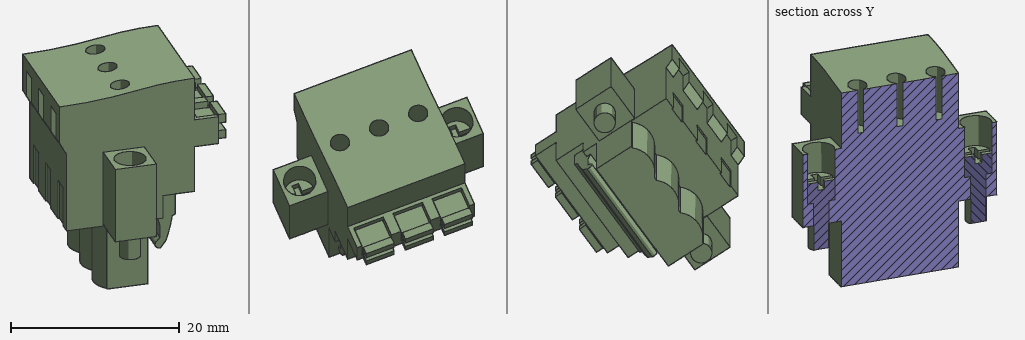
import cadquery as cq
import math


pole_count = 3
body_width = 15.0
pitch = body_width / pole_count
pole_xs = [(i - (pole_count - 1) / 2) * pitch for i in range(pole_count)]

body_back_y = 8.76
body_bottom_z = 8.37
back_bottom_z = 11.34
step_y = 4.85
lower_front_y = -7.08
top_front_y = -7.95
overhang_bottom_z = 20.02
overhang_foot_z = 18.45
top_back_z = 26.25
top_front_z = 24.8
crest_end_y = 1.9
crest_end_z = 25.65

wire_hole_diameter = 2.25
wire_hole_y = 0.25
wire_hole_floor_z = 19.68

groove_width = 2.05
upper_groove_top_z = 23.27
lower_groove_top_z = 13.38
lower_groove_depth = 0.18

plug_back_y = 2.97
plug_front_y = -2.07
bulge_width = 4.55
bulge_front_y = -3.05

ledge_back_y = 11.73
ledge_bottom_z = 17.21
ledge_top_z = 20.75
pocket_front_y = 9.2
pocket_clearance = 0.092

lever_width = 3.57
lever_back_y = 12.83
head_front_y = 11.9
head_bottom_z = 17.5
head_top_z = 20.68
stem_bottom_z = 18.08
stem_top_z = 19.97
lever_slot_width = 0.97
lever_slot_z = 19.05

latch_width = (pole_count - 1) * pitch + lever_width
latch_back_y = 6.59
latch_shoulder_y = 6.22
latch_shoulder_z = 8.13
latch_bow_y = 5.8
latch_bow_z = 6.17
latch_bend_y = 5.45
latch_bend_z = 5.06
latch_tip_back_y = 4.78
latch_tip_z = 4.15
latch_tip_mid_y = 4.28
latch_tip_mid_z = 4.28
latch_nose_y = 4.17
latch_nose_z = 4.99
latch_neck_y = 4.7
latch_neck_low_z = 5.5
latch_neck_high_z = 7.15
latch_root_y = 4.3

overall_width = 24.8
flange_depth = 5.1
flange_bottom_z = 8.55
flange_top_z = 18.08
screw_x = 10.05
screw_head_diameter = 3.8
screw_head_top_z = 14.17
screw_head_height = 2.62
shaft_diameter = 2.52
shaft_bottom_z = 5.38
cross_depth = 1.05
cross_slot_width = 0.58
cross_arm_width = 0.81
cross_arm_length = 2.73

screw_head_bottom_z = screw_head_top_z - screw_head_height


def box(x_min, x_max, y_min, y_max, z_min, z_max):
    """Axis-aligned block between the given limits."""
    size = (x_max - x_min, y_max - y_min, z_max - z_min)
    return cq.Workplane("XY").box(*size, centered=False).translate((x_min, y_min, z_min))


def pole_box(x, width, y_min, y_max, z_min, z_max):
    """Block of the given width centred on a pole."""
    return box(x - width / 2, x + width / 2, y_min, y_max, z_min, z_max)


def cylinder(x, y, diameter, z_min, z_max):
    """Upright cylinder between two heights."""
    return cq.Workplane("XY", origin=(x, y, z_min)).circle(diameter / 2).extrude(z_max - z_min)


def side_profile(width):
    """YZ sketch plane placed so that an extrusion by width is centred on X = 0."""
    return cq.Workplane("YZ", origin=(-width / 2, 0, 0))


def make_body_block():
    """Main block, its top an S-curve: level at the back, then hollow towards the front."""
    crest_run = body_back_y - crest_end_y
    crest_drop = top_back_z - crest_end_z
    crest_radius = (crest_run**2 + crest_drop**2) / (2 * crest_drop)
    half_angle = math.asin(crest_run / crest_radius) / 2
    crest_mid = (
        body_back_y - crest_radius * math.sin(half_angle),
        top_back_z - crest_radius * (1 - math.cos(half_angle)),
    )
    return (
        side_profile(body_width)
        .moveTo(body_back_y, top_back_z)
        .threePointArc(crest_mid, (crest_end_y, crest_end_z))
        .tangentArcPoint((top_front_y, top_front_z), relative=False)
        .lineTo(top_front_y, overhang_bottom_z)
        .lineTo(lower_front_y, overhang_foot_z)
        .lineTo(lower_front_y, body_bottom_z)
        .lineTo(step_y, body_bottom_z)
        .lineTo(step_y, back_bottom_z)
        .lineTo(body_back_y, back_bottom_z)
        .close()
        .extrude(body_width)
    )


def make_plug():
    """Contact plug below the body, with one rounded bulge per pole on its front."""
    half_width = body_width / 2
    outline = cq.Workplane("XY").moveTo(-half_width, plug_back_y).lineTo(-half_width, plug_front_y)
    for x in pole_xs:
        outline = outline.lineTo(x - bulge_width / 2, plug_front_y).threePointArc(
            (x, bulge_front_y), (x + bulge_width / 2, plug_front_y)
        )
    outline = outline.lineTo(half_width, plug_front_y).lineTo(half_width, plug_back_y)
    return outline.close().extrude(body_bottom_z)


def make_latch():
    """Latch hook hanging in the step below the back of the body."""
    return (
        side_profile(latch_width)
        .moveTo(step_y, back_bottom_z)
        .lineTo(latch_back_y, back_bottom_z)
        .lineTo(latch_back_y, body_bottom_z)
        .lineTo(latch_shoulder_y, latch_shoulder_z)
        .threePointArc((latch_bow_y, latch_bow_z), (latch_bend_y, latch_bend_z))
        .lineTo(latch_tip_back_y, latch_tip_z)
        .threePointArc((latch_tip_mid_y, latch_tip_mid_z), (latch_nose_y, latch_nose_z))
        .lineTo(latch_neck_y, latch_neck_low_z)
        .lineTo(latch_neck_y, latch_neck_high_z)
        .lineTo(latch_root_y, body_bottom_z)
        .lineTo(step_y, body_bottom_z)
        .close()
        .extrude(latch_width)
    )


def make_flange(side):
    """Flange block at one end; side is -1 or +1."""
    inner_x, outer_x = sorted((side * body_width / 2, side * overall_width / 2))
    block = box(inner_x, outer_x, -flange_depth / 2, flange_depth / 2, flange_bottom_z, flange_top_z)
    counterbore = cylinder(side * screw_x, 0, screw_head_diameter, screw_head_bottom_z, flange_top_z)
    shaft_hole = cylinder(side * screw_x, 0, shaft_diameter, flange_bottom_z, screw_head_bottom_z)
    return block.cut(counterbore).cut(shaft_hole)


def cut_pole_features(housing):
    """Wire hole, two front grooves and lever pocket of every pole."""
    pocket_width = lever_width + 2 * pocket_clearance
    for x in pole_xs:
        wire_hole = cylinder(x, wire_hole_y, wire_hole_diameter, wire_hole_floor_z, top_back_z)
        upper_groove = pole_box(
            x, groove_width, top_front_y, lower_front_y, overhang_foot_z, upper_groove_top_z
        )
        lower_groove = pole_box(
            x, groove_width, lower_front_y, lower_front_y + lower_groove_depth,
            body_bottom_z, lower_groove_top_z,
        )
        pocket = pole_box(x, pocket_width, pocket_front_y, ledge_back_y, stem_bottom_z, ledge_top_z)
        housing = housing.cut(wire_hole).cut(upper_groove).cut(lower_groove).cut(pocket)
    return housing


def make_housing():
    """Body, plug, latch, lever ledge and both flanges as one moulding."""
    half_width = body_width / 2
    ledge = box(-half_width, half_width, body_back_y, ledge_back_y, ledge_bottom_z, ledge_top_z)
    housing = make_body_block().union(make_plug()).union(make_latch()).union(ledge)
    for side in (-1, 1):
        housing = housing.union(make_flange(side))
    return cut_pole_features(housing)


def make_lever(x):
    """Lever with a slotted head; the slot runs along X and ends in a right-angled V."""
    stem = pole_box(x, lever_width, pocket_front_y, head_front_y, stem_bottom_z, stem_top_z)
    head = pole_box(x, lever_width, head_front_y, lever_back_y, head_bottom_z, head_top_z)
    half_slot = lever_slot_width / 2
    slot = (
        cq.Workplane("YZ", origin=(x - lever_width / 2, 0, 0))
        .moveTo(lever_back_y, lever_slot_z + half_slot)
        .lineTo(head_front_y, lever_slot_z + half_slot)
        .lineTo(head_front_y - half_slot, lever_slot_z)
        .lineTo(head_front_y, lever_slot_z - half_slot)
        .lineTo(lever_back_y, lever_slot_z - half_slot)
        .close()
        .extrude(lever_width)
    )
    return stem.union(head).cut(slot)


def make_screw(x):
    """Flange screw with a cross recess in its sunken head."""
    head = cylinder(x, 0, screw_head_diameter, screw_head_bottom_z, screw_head_top_z)
    shaft = cylinder(x, 0, shaft_diameter, shaft_bottom_z, screw_head_bottom_z)
    recess_floor = cq.Workplane("XY", origin=(x, 0, screw_head_top_z - cross_depth))
    slot = recess_floor.rect(screw_head_diameter, cross_slot_width).extrude(cross_depth)
    arms = recess_floor.rect(cross_arm_width, cross_arm_length).extrude(cross_depth)
    return head.union(shaft).cut(slot).cut(arms)


housing = make_housing()
levers = [make_lever(x) for x in pole_xs]
screws = [make_screw(side * screw_x) for side in (-1, 1)]

result = cq.Compound.makeCompound(
    [housing.val(), *[lever.val() for lever in levers], *[screw.val() for screw in screws]]
)